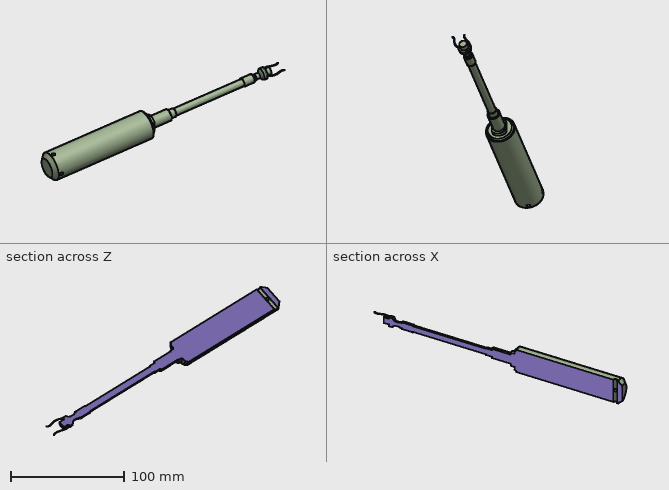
import cadquery as cq

length = 244.0

body_radius = 13.3
nose_radius = 9.0
nose_length = 4.0
body_end = 103.2
shoulder_length = 1.7
shoulder_base_radius = 12.2
shoulder_top_radius = 11.0
pin_hole_diameter = 3.2
pin_hole_y = 6.8

collar_radius = 7.93
collar_end = 108.5
collar_across_flats = 12.7

sleeve_radius = 5.5
sleeve_end = 126.8
ferrule_radius = 4.1
strain_relief_end = 132.7
cable_radius = 3.54
ferrule_start = 204.0
ferrule_end = 214.5

taper_radius = 3.5
taper_start = 215.8
neck_radius = 2.7
neck_start = 217.0
neck_end = 221.0
flange_base_radius = 3.7
flange_base_y = 222.2
flange_radius = 5.5
flange_edge_radius = 5.4
flange_start = 223.6
flange_crest = 225.4
flange_end = 227.0
head_radius = 3.54
head_end = 232.2

wire_diameter = 0.7
left_wire_path = [(-4.1, 226.3), (-5.4, 229.3), (-5.4, 233.0), (-4.5, 236.5), (-4.5, length)]
right_wire_path = [(4.5, 226.3), (5.9, 229.0), (6.8, 232.2), (6.5, 237.0), (5.73, 240.5), (6.3, length)]


def make_turned_body():
    """Revolve the full stepped outline, given as (radius, y), about the Y axis."""
    outline = [
        (0, 0),
        (nose_radius, 0),
        (body_radius, nose_length),
        (body_radius, body_end),
        (shoulder_base_radius, body_end),
        (shoulder_top_radius, body_end + shoulder_length),
        (sleeve_radius, body_end + shoulder_length),
        (sleeve_radius, sleeve_end),
        (ferrule_radius, sleeve_end),
        (ferrule_radius, strain_relief_end),
        (cable_radius, strain_relief_end),
        (cable_radius, ferrule_start),
        (ferrule_radius, ferrule_start),
        (ferrule_radius, ferrule_end),
        (taper_radius, ferrule_end),
        (taper_radius, taper_start),
        (neck_radius, neck_start),
        (neck_radius, neck_end),
        (flange_base_radius, flange_base_y),
        (flange_edge_radius, flange_start),
        (flange_radius, flange_crest),
        (flange_radius, flange_end),
        (head_radius, flange_end),
        (head_radius, head_end),
        (0, head_end),
    ]
    return cq.Workplane("XY").polyline(outline).close().revolve(360, (0, 0, 0), (0, 1, 0))


def make_collar():
    """Round collar behind the handle, flattened on its -X and +X sides."""
    collar_start = body_end + shoulder_length
    collar_length = collar_end - collar_start
    collar = cq.Workplane("XZ", origin=(0, collar_end, 0)).circle(collar_radius).extrude(collar_length)
    flats = cq.Workplane("XY").box(collar_across_flats, collar_length, 2 * collar_radius)
    return collar.intersect(flats.translate((0, (collar_start + collar_end) / 2, 0)))


def make_wire(path_points):
    """Sweep a round wire along a smooth curve from the flange and trim its tip square at full length."""
    path = cq.Workplane("XY").spline(path_points)
    start = path.val().startPoint()
    direction = path.val().tangentAt(0)
    section = cq.Workplane(cq.Plane(origin=start, xDir=(0, 0, 1), normal=direction))
    wire = section.circle(wire_diameter / 2).sweep(path)
    end_trim = cq.Workplane("XY").box(length, length, length).translate((0, length / 2, 0))
    return wire.intersect(end_trim)


def make_pin_hole(plane):
    """Cross hole through the handle, along the normal of the given plane."""
    hole = cq.Workplane(plane).circle(pin_hole_diameter / 2).extrude(body_radius, both=True)
    return hole.translate((0, pin_hole_y, 0))


result = make_turned_body().union(make_collar())
for wire_path in (left_wire_path, right_wire_path):
    result = result.union(make_wire(wire_path))
for hole_plane in ("XY", "YZ"):
    result = result.cut(make_pin_hole(hole_plane))